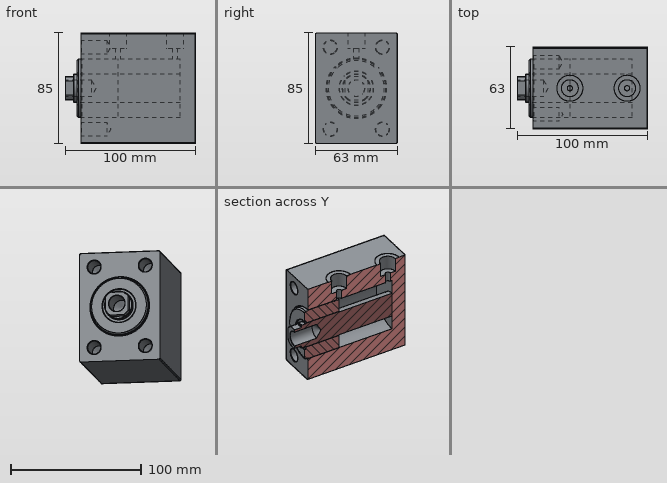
import cadquery as cq


BLOCK_LENGTH = 88.0
BLOCK_WIDTH = 63.0
BLOCK_HEIGHT = 85.0
EDGE_CHAMFER = 0.8

BORE_DIAMETER = 45.0
BORE_DEPTH = 76.0
BORE_MOUTH_CHAMFER = 0.8

PORT_POSITIONS = (28.4, 72.4)
PORT_DIAMETER = 13.0
PORT_DEPTH = 12.0
SPOTFACE_DIAMETER = 20.0
SPOTFACE_DEPTH = 0.2
CHANNEL_DIAMETER = 4.0

MOUNT_SPACING_Y = 40.0
MOUNT_SPACING_Z = 63.0
MOUNT_DIAMETER = 10.2
MOUNT_DEPTH = 20.0
MOUNT_CHAMFER = 0.4

GLAND_PROJECTION = 3.0
GLAND_CHAMFER_LENGTH = 1.2
GLAND_CHAMFER_WIDTH = 1.1
GLAND_END = PORT_POSITIONS[0]
GLAND_RECESS_DIAMETER = 26.0
GLAND_RECESS_DEPTH = 1.3
GLAND_RECESS_CHAMFER = 0.3

ROD_DIAMETER = 21.8
ROD_PROJECTION = 12.0
ROD_CHAMFER = 0.4
SQUARE_LENGTH = 6.2
SQUARE_SIZE = 17.8
SQUARE_CORNER_DIAMETER = 20.8
ROD_HOLE_DIAMETER = 12.6
ROD_HOLE_DEPTH = 20.0
ROD_HOLE_CHAMFER = 0.2

DRILL_TIP_RATIO = 0.3


def turned(profile):
    """Solid of revolution about X from a half outline of (x, radius) points."""
    return cq.Workplane("XY").polyline(profile).close().revolve(360, (0, 0, 0), (1, 0, 0))


def drilled_hole(mouth_x, diameter, depth, chamfer):
    """Cutter for a blind hole along +X with a chamfered mouth and a conical bottom."""
    radius = diameter / 2
    return turned([
        (mouth_x, 0),
        (mouth_x, radius + chamfer),
        (mouth_x + chamfer, radius),
        (mouth_x + depth, radius),
        (mouth_x + depth + DRILL_TIP_RATIO * diameter, 0),
    ])


def bore_cutter():
    radius = BORE_DIAMETER / 2
    return turned([
        (0, 0),
        (0, radius + BORE_MOUTH_CHAMFER),
        (BORE_MOUTH_CHAMFER, radius),
        (BORE_DEPTH, radius),
        (BORE_DEPTH, 0),
    ])


def port_cutter(x):
    """Spotface, threaded port and the narrow channel down into the bore."""
    top = cq.Workplane("XY", origin=(x, 0, BLOCK_HEIGHT / 2))
    spotface = top.circle(SPOTFACE_DIAMETER / 2).extrude(-SPOTFACE_DEPTH)
    port = top.circle(PORT_DIAMETER / 2).extrude(-PORT_DEPTH)
    channel = top.circle(CHANNEL_DIAMETER / 2).extrude(-BLOCK_HEIGHT / 2)
    return spotface.union(port).union(channel)


def make_block():
    block = (
        cq.Workplane("XY")
        .box(BLOCK_LENGTH, BLOCK_WIDTH, BLOCK_HEIGHT)
        .translate((BLOCK_LENGTH / 2, 0, 0))
        .edges("|X")
        .chamfer(EDGE_CHAMFER)
        .cut(bore_cutter())
    )
    for x in PORT_POSITIONS:
        block = block.cut(port_cutter(x))
    mount_hole = drilled_hole(0, MOUNT_DIAMETER, MOUNT_DEPTH, MOUNT_CHAMFER)
    for side_y in (-1, 1):
        for side_z in (-1, 1):
            place = (0, side_y * MOUNT_SPACING_Y / 2, side_z * MOUNT_SPACING_Z / 2)
            block = block.cut(mount_hole.translate(place))
    return block


def make_gland():
    """Stepped sleeve that fills the mouth of the bore and guides the rod."""
    outer = BORE_DIAMETER / 2
    recess = GLAND_RECESS_DIAMETER / 2
    guide = ROD_DIAMETER / 2
    face = -GLAND_PROJECTION
    return turned([
        (face, recess + GLAND_RECESS_CHAMFER),
        (face, outer - GLAND_CHAMFER_WIDTH),
        (face + GLAND_CHAMFER_LENGTH, outer),
        (GLAND_END, outer),
        (GLAND_END, guide),
        (face + GLAND_RECESS_DEPTH, guide),
        (face + GLAND_RECESS_DEPTH, recess),
        (face + GLAND_RECESS_CHAMFER, recess),
    ])


def make_rod():
    """Round rod with a round-cornered square end for a wrench and a central tapped hole."""
    tip = -ROD_PROJECTION
    shoulder = tip + SQUARE_LENGTH
    radius = ROD_DIAMETER / 2
    body = turned([
        (shoulder, 0),
        (shoulder, radius - ROD_CHAMFER),
        (shoulder + ROD_CHAMFER, radius),
        (BORE_DEPTH, radius),
        (BORE_DEPTH, 0),
    ])
    end = cq.Workplane("YZ", origin=(tip, 0, 0))
    round_end = end.circle(SQUARE_CORNER_DIAMETER / 2).extrude(SQUARE_LENGTH)
    square_end = end.rect(SQUARE_SIZE, SQUARE_SIZE).extrude(SQUARE_LENGTH)
    hole = drilled_hole(tip, ROD_HOLE_DIAMETER, ROD_HOLE_DEPTH, ROD_HOLE_CHAMFER)
    return body.union(round_end.intersect(square_end)).cut(hole)


block = make_block()
gland = make_gland()
rod = make_rod()

result = cq.Compound.makeCompound([block.val(), gland.val(), rod.val()])